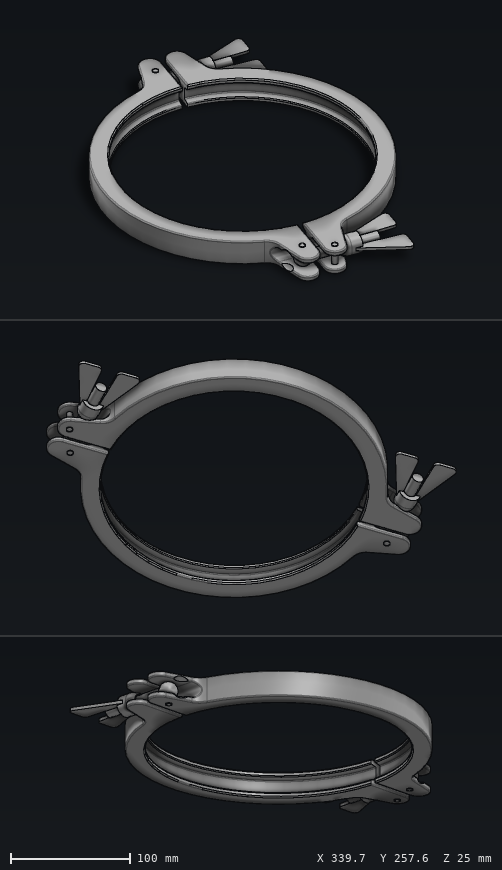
import cadquery as cq
import math

ring_radius = 128.8
bore_radius = 111.8
clamp_height = 23.0
split_gap = 4.8
edge_round = 1.2

groove_radius = 118.0
lip_height = 4.5
groove_angle = 15.0
groove_edge_round = 1.0

ear_x = 153.3
ear_y = 12.5
ear_radius = 10.2
ear_taper = 16.0
blend_radius = 13.5
slot_height = 13.5
slot_end_x = 125.0
slot_edge_round = 1.0

bolt_x = 142.7
bolt_radius = 5.0
bolt_end_y = 57.8
ball_y = 12.0
ball_radius = 8.0
pin_radius = 2.7
pin_height = 25.0
pin_dome = 0.5

nut_radius = 9.5
nut_seat_y = 21.8
nut_round_y = 29.2
nut_seat_radius = 10.2
nut_top_y = 39.5
wing_thickness = 3.0
wing_bottom_y = 33.0
wing_top_y = 79.5
wing_outer_top = 29.2
wing_inner_top = 7.0
wing_inner_bottom = 5.5
wing_corner_round = 4.0

split_y = split_gap / 2
SIDES = (-1, 1)


def along_y(radius, x, start_y, end_y):
    """Cylinder parallel to Y."""
    return cq.Workplane(cq.Solid.makeCylinder(
        radius, end_y - start_y, cq.Vector(x, start_y, 0), cq.Vector(0, 1, 0)))


def ball(radius, x, y):
    """Sphere centred at mid height."""
    return cq.Workplane("XY").sphere(radius).translate((x, y, 0))


def pin(x, y):
    """Pin parallel to Z with a shallow dome at each end."""
    half = pin_height / 2
    shoulder = half - pin_dome
    dome_radius = (pin_radius ** 2 + pin_dome ** 2) / (2 * pin_dome)
    profile = (
        cq.Workplane("XZ")
        .moveTo(0, -half)
        .radiusArc((pin_radius, -shoulder), -dome_radius)
        .lineTo(pin_radius, shoulder)
        .radiusArc((0, half), -dome_radius)
        .close()
    )
    return profile.revolve(360, (0, 0, 0), (0, 1, 0)).translate((x, y, 0))


def ear():
    """Right-hand ear: round tip, tapered flank and a blend tangent to the ring."""
    taper = math.radians(ear_taper)
    normal = (math.sin(taper), math.cos(taper))
    flank_start = (ear_x + ear_radius * normal[0], ear_y + ear_radius * normal[1])

    offset = flank_start[0] * normal[0] + flank_start[1] * normal[1] + blend_radius
    centre_distance = ring_radius + blend_radius
    along = math.sqrt(centre_distance ** 2 - offset ** 2)
    blend_centre = (
        offset * normal[0] + along * normal[1],
        offset * normal[1] - along * normal[0],
    )
    flank_end = (
        blend_centre[0] - blend_radius * normal[0],
        blend_centre[1] - blend_radius * normal[1],
    )
    ring_ratio = ring_radius / centre_distance
    ring_point = (blend_centre[0] * ring_ratio, blend_centre[1] * ring_ratio)

    root_x = (bore_radius + groove_radius) / 2
    return (
        cq.Workplane("XY")
        .moveTo(root_x, split_y)
        .lineTo(ear_x, split_y)
        .threePointArc((ear_x + ear_radius, ear_y), flank_start)
        .lineTo(*flank_end)
        .radiusArc(ring_point, blend_radius)
        .lineTo(root_x, ring_point[1])
        .close()
        .extrude(clamp_height / 2, both=True)
    )


def clamp_blank():
    """Half ring with an ear at each end and rounded top and bottom edges."""
    ring = cq.Workplane("XY").circle(ring_radius).extrude(clamp_height / 2, both=True)
    behind_split = (
        cq.Workplane("XY")
        .box(2 * ring_radius, ring_radius, clamp_height, centered=(True, False, True))
        .translate((0, split_y, 0))
    )
    right_ear = ear()
    bore = cq.Workplane("XY").circle(bore_radius).extrude(clamp_height / 2, both=True)
    half = ring.intersect(behind_split).union(right_ear).union(right_ear.mirror("YZ")).cut(bore)
    return half.faces(">Z or <Z").edges().fillet(edge_round)


def bore_groove():
    """Ring-shaped groove whose side faces slope towards its floor."""
    mouth = clamp_height / 2 - lip_height
    floor = mouth - (groove_radius - bore_radius) * math.tan(math.radians(groove_angle))
    return (
        cq.Workplane("XZ")
        .polyline([(0, -mouth), (bore_radius, -mouth), (groove_radius, -floor),
                   (groove_radius, floor), (bore_radius, mouth), (0, mouth)])
        .close()
        .revolve(360, (0, 0, 0), (0, 1, 0))
    )


def groove_edges():
    """Selector for the curved edges of the groove, at its mouth and at its floor."""
    mouth = clamp_height / 2 - lip_height
    slack = groove_edge_round / 2
    return cq.selectors.BoxSelector(
        (-bore_radius / 2, split_y, -mouth - slack),
        (bore_radius / 2, bore_radius, mouth + slack))


def ear_slot(side):
    """Slot through an ear along Y, open at the tip and round at its inner end."""
    end_centre = slot_end_x + slot_height / 2
    length = ear_x + 2 * ear_radius - end_centre
    block = (
        cq.Workplane("XY")
        .box(length, ring_radius, slot_height, centered=(False, False, True))
        .translate((end_centre, 0, 0))
    )
    slot = block.union(along_y(slot_height / 2, end_centre, 0, ring_radius))
    return slot if side > 0 else slot.mirror("YZ")


def nut_seat(side):
    """Round-bottomed recess that takes the end of a wing nut."""
    x = side * bolt_x
    return along_y(nut_seat_radius, x, nut_round_y, wing_bottom_y + nut_seat_radius).union(
        ball(nut_seat_radius, x, nut_round_y))


def slot_edges(side):
    """Selector for the edges where a slot opens on the faces of its ear."""
    near = (side * (slot_end_x - slot_edge_round), 0, -clamp_height / 2 + edge_round)
    far = (side * (ear_x + 2 * ear_radius), ring_radius, clamp_height / 2 - edge_round)
    return cq.selectors.BoxSelector(near, far)


def clamp_half():
    """Grooved half ring with a slot and a nut seat in each ear."""
    half = clamp_blank().cut(bore_groove())
    half = half.edges(groove_edges()).fillet(groove_edge_round)
    for side in SIDES:
        half = half.cut(ear_slot(side))
        half = half.edges(slot_edges(side)).fillet(slot_edge_round)
    for side in SIDES:
        half = half.cut(nut_seat(side))
    return half


def wing():
    """Flat wing on the +X side of a bolt centred at X = 0."""
    return (
        cq.Workplane("XY")
        .polyline([(wing_inner_bottom, wing_bottom_y), (nut_radius, wing_bottom_y),
                   (wing_outer_top, wing_top_y), (wing_inner_top, wing_top_y)])
        .close()
        .extrude(wing_thickness / 2, both=True)
        .edges("|Z and >Y")
        .fillet(wing_corner_round)
    )


def wing_nut():
    """Wing nut along Y with a ball-shaped end cut flat at the seat."""
    barrel = along_y(nut_radius, 0, nut_seat_y, nut_top_y)
    rounded_end = along_y(nut_radius, 0, nut_round_y, nut_top_y).union(
        ball(nut_radius, 0, nut_round_y))
    right_wing = wing()
    return barrel.intersect(rounded_end).union(right_wing).union(right_wing.mirror("YZ"))


def swing_bolt():
    """Bolt with its hinge ball and wing nut, centred at X = 0."""
    shank = along_y(bolt_radius, 0, -ball_y, bolt_end_y)
    return shank.union(ball(ball_radius, 0, -ball_y)).union(wing_nut())


upper_half = clamp_half().union(pin(ear_x, ear_y))

lower_half = clamp_half().mirror("XZ")
for side in SIDES:
    lower_half = lower_half.union(swing_bolt().translate((side * bolt_x, 0, 0)))
    lower_half = lower_half.union(pin(side * bolt_x, -ear_y))

result = cq.Compound.makeCompound([*upper_half.solids().vals(), *lower_half.solids().vals()])